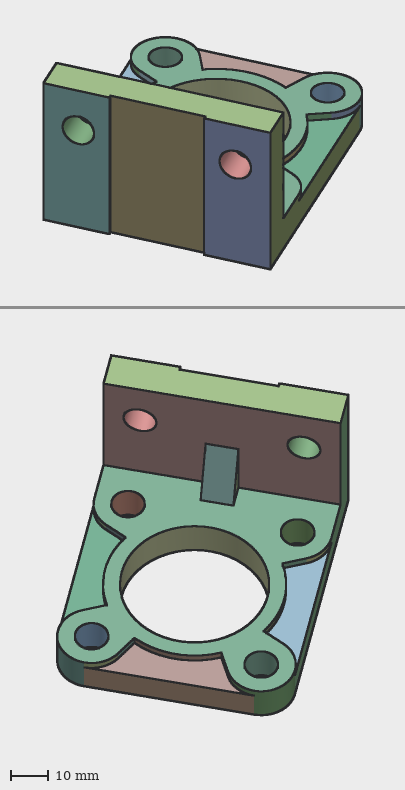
import cadquery as cq
import math

width = 65.0
length = 77.5
height = 45.0
base_thickness = 10.2
wall_thickness = 10.0
half_width = width / 2
front_y = half_width - length
wall_inner_y = front_y + wall_thickness

bore_diameter = 40.0
screw_diameter = 9.0
screw_spacing = 46.5
half_spacing = screw_spacing / 2
boss_radius = half_width - half_spacing

ring_radius = 24.6
pocket_depth = 2.1
pocket_half_angle = math.radians(29)

wall_hole_spacing = 44.95
wall_hole_drop = 13.0
channel_width = 27.1
channel_depth = 0.9

gusset_width = 9.0
gusset_length = 6.35
gusset_height = 16.4


def make_base():
    base = cq.Workplane("XY").box(width, length, base_thickness, centered=(True, False, False))
    base = base.translate((0, front_y, 0))
    return base.edges("|Z and >Y").fillet(boss_radius)


def make_wall():
    wall = cq.Workplane("XY").box(width, wall_thickness, height, centered=(True, False, False))
    return wall.translate((0, front_y, 0))


def make_gusset():
    return (
        cq.Workplane("YZ")
        .moveTo(wall_inner_y, base_thickness)
        .lineTo(wall_inner_y + gusset_length, base_thickness)
        .lineTo(wall_inner_y, base_thickness + gusset_height)
        .close()
        .extrude(gusset_width / 2, both=True)
    )


def make_pocket():
    """Pocket on the +Y side, between two bosses and open at the outer edge."""
    ring_x = ring_radius * math.sin(pocket_half_angle)
    ring_y = ring_radius * math.cos(pocket_half_angle)

    to_ring_x = ring_x - half_spacing
    to_ring_y = ring_y - half_spacing
    ring_direction = math.atan2(to_ring_y, to_ring_x)
    tangent_offset = math.acos(boss_radius / math.hypot(to_ring_x, to_ring_y))
    tangent_angle = ring_direction - tangent_offset + 2 * math.pi

    start_angle = math.pi / 2
    middle_angle = (start_angle + tangent_angle) / 2

    def boss_point(angle, side):
        x = half_spacing + boss_radius * math.cos(angle)
        y = half_spacing + boss_radius * math.sin(angle)
        return (side * x, y)

    return (
        cq.Workplane("XY", origin=(0, 0, base_thickness - pocket_depth))
        .moveTo(*boss_point(start_angle, 1))
        .threePointArc(boss_point(middle_angle, 1), boss_point(tangent_angle, 1))
        .lineTo(ring_x, ring_y)
        .threePointArc((0, ring_radius), (-ring_x, ring_y))
        .lineTo(*boss_point(tangent_angle, -1))
        .threePointArc(boss_point(middle_angle, -1), boss_point(start_angle, -1))
        .close()
        .extrude(pocket_depth)
    )


def make_flange_holes():
    bore = cq.Workplane("XY").circle(bore_diameter / 2).extrude(base_thickness)
    screws = (
        cq.Workplane("XY")
        .rect(screw_spacing, screw_spacing, forConstruction=True)
        .vertices()
        .circle(screw_diameter / 2)
        .extrude(base_thickness)
    )
    return bore.union(screws)


def make_wall_holes():
    half_hole_spacing = wall_hole_spacing / 2
    return (
        cq.Workplane("XZ", origin=(0, wall_inner_y, height - wall_hole_drop))
        .pushPoints([(-half_hole_spacing, 0), (half_hole_spacing, 0)])
        .circle(screw_diameter / 2)
        .extrude(wall_thickness)
    )


def make_channel():
    channel = cq.Workplane("XY").box(channel_width, channel_depth, height, centered=(True, False, False))
    return channel.translate((0, front_y, 0))


result = make_base().union(make_wall()).union(make_gusset())
result = result.cut(make_flange_holes()).cut(make_wall_holes()).cut(make_channel())

pocket = make_pocket()
for turn in (-90, 0, 90):
    result = result.cut(pocket.rotate((0, 0, 0), (0, 0, 1), turn))